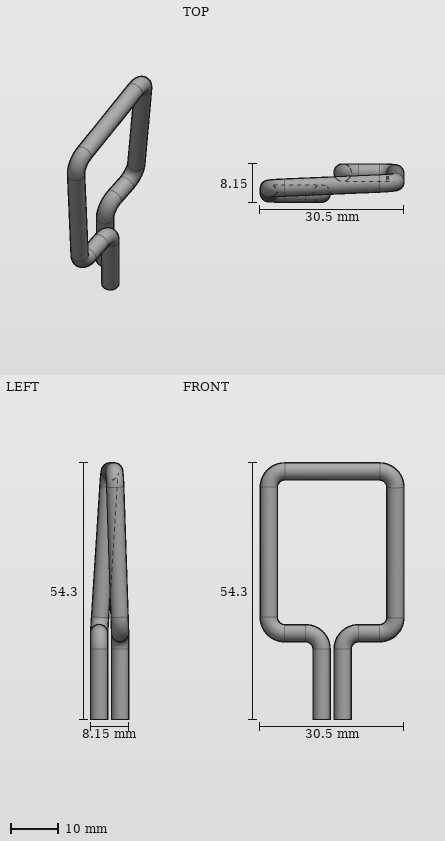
import cadquery as cq
import math

width = 30.45
depth = 8.15
height = 54.25
wire_diameter = 3.7
bend_radius = 3.35
lower_bar_z = 18.25
right_top_y = 0.05
left_top_y = -1.1

wire_radius = wire_diameter / 2
leg_offset = depth / 2 - wire_radius
side_x = width / 2 - wire_radius
top_z = height - wire_radius


def loop_side(direction, upper_corner_y):
    """Return sharp corners of one side (direction +1 or -1) from leg foot to upper corner."""
    leg_x = direction * leg_offset
    lower_y = direction * leg_offset
    outer_x = direction * side_x
    return [
        cq.Vector(leg_x, lower_y, 0),
        cq.Vector(leg_x, lower_y, lower_bar_z),
        cq.Vector(outer_x, lower_y, lower_bar_z),
        cq.Vector(outer_x, upper_corner_y, top_z),
    ]


right_side = loop_side(1, right_top_y)
left_side = loop_side(-1, left_top_y)
corners = right_side + left_side[::-1]


def bend_points(before, corner, after):
    """Return start, middle and end of the arc that rounds a centreline corner."""
    to_before = (before - corner).normalized()
    to_after = (after - corner).normalized()
    half_angle = to_before.getAngle(to_after) / 2
    tangent_length = bend_radius / math.tan(half_angle)
    middle_distance = bend_radius / math.sin(half_angle) - bend_radius
    bisector = (to_before + to_after).normalized()
    return (
        corner + to_before * tangent_length,
        corner + bisector * middle_distance,
        corner + to_after * tangent_length,
    )


def centreline(points):
    """Join the corner points with straight runs and tangent arcs."""
    edges = []
    run_start = points[0]
    for before, corner, after in zip(points, points[1:], points[2:]):
        start, middle, end = bend_points(before, corner, after)
        edges.append(cq.Edge.makeLine(run_start, start))
        edges.append(cq.Edge.makeThreePointArc(start, middle, end))
        run_start = end
    edges.append(cq.Edge.makeLine(run_start, points[-1]))
    return cq.Wire.assembleEdges(edges)


result = (
    cq.Workplane("XY")
    .center(leg_offset, leg_offset)
    .circle(wire_radius)
    .sweep(cq.Workplane(centreline(corners)))
)